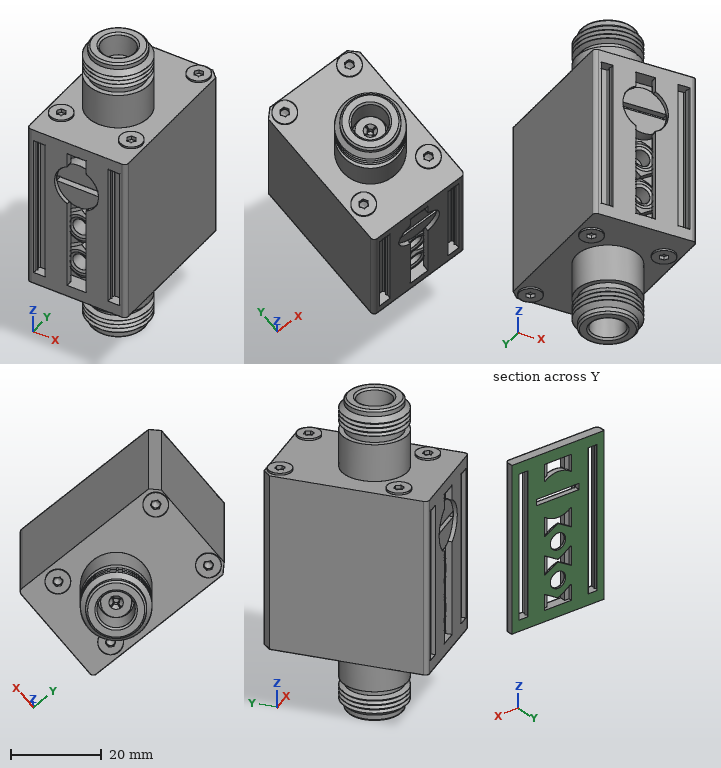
import cadquery as cq
import math


width = 25.8
depth = 39.3
total_height = 76.8
front_y = -17.35
plate_top = 21.4
plate_thickness = 3.0
core_top = plate_top - plate_thickness
back_chamfer = 2.0
front_fillet = 1.0

slot_width = 4.9
lip_thickness = 1.5
t_slot_width = 7.4
t_slot_depth = 3.7

groove_centre_x = 9.7
groove_width = 3.0
groove_depth = 2.4
tooth_height = 0.3
tooth_pitch = 1.0

plug_z = 9.6
plug_diameter = 11.75
plug_pocket_diameter = 11.45
plug_face_depth = 1.0
driver_slot_width = 1.45
driver_slot_depth = 1.5

nut_centres_z = (-2.3, -12.05)
nut_across_flats = 8.0
nut_face_diameter = 6.9
nut_cone_angle = 30.0
nut_hole_diameter = 4.15
nut_countersink_diameter = 5.5
nut_countersink_depth = 0.3
nut_hole_depth = 3.85

screw_x = 9.15
screw_rows_y = (-9.15, 18.9)
screw_head_diameter = 5.7
screw_head_height = 0.45
socket_across_flats = 2.0
socket_depth = 0.9

connector_top = total_height / 2
barrel_radius = 15.9 / 2
barrel_top = 30.5
neck_radius = 13.5 / 2
thread_bottom = 32.0
thread_top = 35.8
thread_pitch = 1.1
thread_crests = 4
thread_root_radius = 7.4
lead_in_top = 36.9
tip_chamfer = 0.45

mouth_radius = 9.4 / 2
bore_top_radius = 8.45 / 2
bore_bottom_radius = 8.0 / 2
bore_depth = 6.9
insulator_radius = 6.9 / 2
insulator_recess = 5.4
contact_diameter = 3.15
contact_hole_diameter = 1.45
contact_cone_depth = 0.85
contact_hole_depth = 2.3
contact_slot_depth = 1.5
contact_slot_width = 0.3


def front_plane(inset):
    """Workplane at the given depth behind the front face, looking into the part (+Y)."""
    return cq.Workplane(cq.Plane((0, front_y + inset, 0), xDir=(-1, 0, 0), normal=(0, 1, 0)))


def box_blank():
    blank = cq.Workplane("XY").box(width, depth, 2 * plate_top, centered=(True, False, True))
    blank = blank.translate((0, front_y, 0))
    blank = blank.edges("|Z and >Y").chamfer(back_chamfer)
    return blank.edges("|Z and <Y").fillet(front_fillet)


def t_slot():
    height = 2 * core_top
    opening = cq.Workplane("XY").box(slot_width, t_slot_depth, height, centered=(True, False, True))
    cavity = cq.Workplane("XY").box(
        t_slot_width, t_slot_depth - lip_thickness, height, centered=(True, False, True)
    )
    cavity = cavity.translate((0, lip_thickness, 0))
    return opening.union(cavity).translate((0, front_y, 0))


def serrated_groove(centre_x):
    """Vertical groove whose two walls each carry V-shaped teeth."""
    wall = groove_width / 2
    crest = wall - tooth_height
    side = [
        (wall, 0),
        (wall, tooth_pitch),
        (crest, tooth_pitch + tooth_height),
        (wall, tooth_pitch + 2 * tooth_height),
        (wall, 2 * tooth_pitch),
        (crest, 2 * tooth_pitch + tooth_height),
        (crest, groove_depth),
    ]
    mirrored = [(-x, y) for x, y in reversed(side)]
    groove = cq.Workplane("XY").polyline(side + mirrored).close().extrude(core_top, both=True)
    return groove.translate((centre_x, front_y, 0))


def plug():
    length = t_slot_depth - plug_face_depth
    body = front_plane(plug_face_depth).center(0, plug_z).circle(plug_diameter / 2).extrude(length)
    driver_slot = (
        front_plane(plug_face_depth)
        .center(0, plug_z)
        .rect(plug_diameter, driver_slot_width)
        .extrude(driver_slot_depth)
    )
    return body, driver_slot


def nut(centre_z):
    """Hexagonal nut, corners up and down, chamfered by a cone at its front face."""
    thickness = t_slot_depth - lip_thickness
    corner_diameter = nut_across_flats / math.cos(math.radians(30))
    hexagon = cq.Workplane("XY").polygon(6, corner_diameter).extrude(thickness)
    hexagon = hexagon.rotate((0, 0, 0), (0, 0, 1), 90)
    face_radius = nut_face_diameter / 2
    base_radius = face_radius + thickness / math.tan(math.radians(nut_cone_angle))
    cone = (
        cq.Workplane("XZ")
        .polyline([(0, 0), (face_radius, 0), (base_radius, thickness), (0, thickness)])
        .close()
        .revolve(360, (0, 0, 0), (0, 1, 0))
    )
    hole_radius = nut_hole_diameter / 2
    countersink_radius = nut_countersink_diameter / 2
    hole = (
        cq.Workplane("XZ")
        .moveTo(0, 0)
        .lineTo(countersink_radius, 0)
        .lineTo(hole_radius, nut_countersink_depth)
        .lineTo(hole_radius, nut_hole_depth)
        .lineTo(0, nut_hole_depth)
        .close()
        .revolve(360, (0, 0, 0), (0, 1, 0))
    )
    return place_nut(hexagon.intersect(cone), centre_z), place_nut(hole, centre_z)


def place_nut(shape, centre_z):
    """Turn a shape built along +Z to run along +Y, starting behind the front lips."""
    turned = shape.rotate((0, 0, 0), (1, 0, 0), -90)
    return turned.translate((0, front_y + lip_thickness, centre_z))


def connector():
    """Stepped, threaded barrel above the top plate."""
    profile = [
        (0, core_top),
        (barrel_radius, core_top),
        (barrel_radius, barrel_top),
        (neck_radius, barrel_top),
        (neck_radius, thread_bottom),
    ]
    lowest_crest = thread_top - (thread_crests - 1) * thread_pitch
    for index in range(thread_crests):
        crest_z = lowest_crest + index * thread_pitch
        if index > 0:
            profile.append((thread_root_radius, crest_z - thread_pitch / 2))
        profile.append((barrel_radius, crest_z))
    profile += [
        (neck_radius, lead_in_top),
        (neck_radius, connector_top - tip_chamfer),
        (neck_radius - tip_chamfer, connector_top),
        (0, connector_top),
    ]
    return cq.Workplane("XZ").polyline(profile).close().revolve(360, (0, 0, 0), (0, 1, 0))


def connector_bore():
    """Tapered bore around the raised insulator, with the slotted contact socket in its middle."""
    insulator_top = connector_top - insulator_recess
    bore_floor = connector_top - bore_depth
    cone_bottom = insulator_top - contact_cone_depth
    hole_floor = insulator_top - contact_hole_depth
    bore = (
        cq.Workplane("XZ")
        .polyline(
            [
                (0, connector_top),
                (mouth_radius, connector_top),
                (bore_top_radius, connector_top - (mouth_radius - bore_top_radius)),
                (bore_bottom_radius, bore_floor),
                (insulator_radius, bore_floor),
                (insulator_radius, insulator_top),
                (contact_diameter / 2, insulator_top),
                (contact_hole_diameter / 2, cone_bottom),
                (contact_hole_diameter / 2, hole_floor),
                (0, hole_floor),
            ]
        )
        .close()
        .revolve(360, (0, 0, 0), (0, 1, 0))
    )
    cross = cq.Workplane("XY").rect(contact_diameter, contact_slot_width)
    cross = cross.extrude(-contact_slot_depth)
    cross = cross.union(cross.rotate((0, 0, 0), (0, 0, 1), 90))
    limit = cq.Workplane("XY").circle(contact_diameter / 2).extrude(-contact_slot_depth)
    return bore.union(cross.intersect(limit).translate((0, 0, insulator_top)))


def screw_points():
    return [(x, y) for x in (-screw_x, screw_x) for y in screw_rows_y]


def screw_heads():
    heads = cq.Workplane("XY", origin=(0, 0, plate_top)).pushPoints(screw_points())
    return heads.circle(screw_head_diameter / 2).extrude(screw_head_height)


def screw_sockets():
    """Hexagonal sockets that end in a cone."""
    head_top = plate_top + screw_head_height
    radius = socket_across_flats / 2
    corner_diameter = socket_across_flats / math.cos(math.radians(30))
    hexagon = cq.Workplane("XY").polygon(6, corner_diameter).extrude(-socket_depth)
    tip = cq.Solid.makeCone(radius, 0, radius, pnt=(0, 0, -socket_depth), dir=(0, 0, -1))
    socket = hexagon.union(cq.Workplane(tip))
    sockets = cq.Workplane("XY")
    for x, y in screw_points():
        sockets = sockets.add(socket.translate((x, y, head_top)))
    return sockets.combine()


result = box_blank().cut(t_slot())
for side in (-1, 1):
    result = result.cut(serrated_groove(side * groove_centre_x))

plug_pocket = front_plane(0).center(0, plug_z).circle(plug_pocket_diameter / 2).extrude(plug_face_depth)
plug_body, plug_driver_slot = plug()
result = result.cut(plug_pocket).union(plug_body).cut(plug_driver_slot)
for nut_z in nut_centres_z:
    nut_body, nut_hole = nut(nut_z)
    result = result.union(nut_body).cut(nut_hole)

end_solid = connector().union(screw_heads())
end_cuts = connector_bore().union(screw_sockets())
result = result.union(end_solid).union(end_solid.mirror("XY"))
result = result.cut(end_cuts).cut(end_cuts.mirror("XY"))